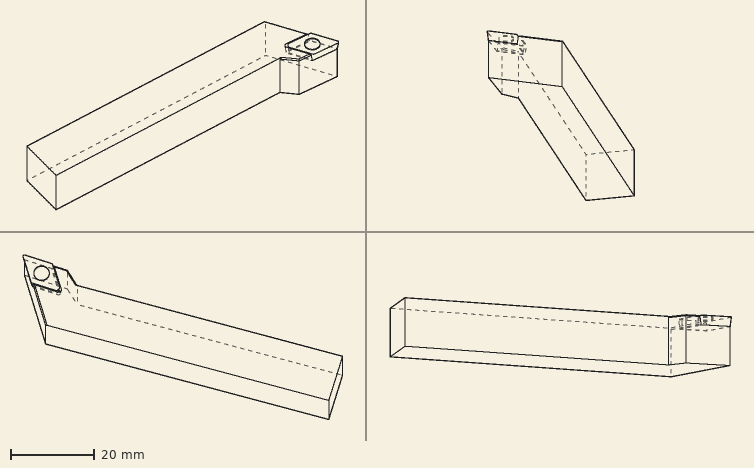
import cadquery as cq
import math

LENGTH = 81.2
TIP_X = 16.15
SHANK_SIZE = 12.0

INSCRIBED_DIAMETER = 6.3
POINT_ANGLE = 55.0
SIDE_TILT = 3.0
NOSE_RADIUS = 0.4
REAR_RADIUS = 0.8
INSERT_THICKNESS = 2.35
CLEARANCE_ANGLE = 7.0
RECESS_DIAMETER = 3.7
RECESS_DEPTH = 0.25

HEAD_LEFT_Y = 70.9
HEAD_NECK_Y = 66.5
HEAD_SHOULDER_X = 15.25
HEAD_SHOULDER_Y = 69.9
HEAD_CHAMFER = 0.3
POCKET_GAP = 0.25
POCKET_CORNER_RADIUS = 0.65

diagonal_tilt = SIDE_TILT + POINT_ANGLE / 2
half_point = math.radians(POINT_ANGLE / 2)
inscribed_radius = INSCRIBED_DIAMETER / 2
nose_distance = (inscribed_radius - NOSE_RADIUS) / math.sin(half_point)
insert_x = TIP_X - NOSE_RADIUS - nose_distance * math.sin(math.radians(diagonal_tilt))
insert_y = LENGTH - NOSE_RADIUS - nose_distance * math.cos(math.radians(diagonal_tilt))
insert_plane = cq.Plane(
    origin=(insert_x, insert_y, SHANK_SIZE),
    xDir=(math.cos(math.radians(diagonal_tilt)), -math.sin(math.radians(diagonal_tilt)), 0),
    normal=(0, 0, 1),
)


def tapered_rhombus(side_distance, rear_radius):
    """Rhombus with rounded corners, narrowing downward from the top face at the clearance angle."""
    half_length = side_distance / math.sin(half_point)
    half_width = side_distance / math.cos(half_point)
    outline = [(0, half_length), (half_width, 0), (0, -half_length), (-half_width, 0)]
    prism = cq.Workplane("XY").polyline(outline).close().extrude(0.8)
    rounded = prism.edges("|Z and (not <Y)").fillet(NOSE_RADIUS).edges("|Z and <Y").fillet(rear_radius)
    profile = rounded.faces("<Z").wires().val().moved(insert_plane.location)
    return (
        cq.Workplane(insert_plane)
        .add(profile)
        .toPending()
        .extrude(-INSERT_THICKNESS, taper=CLEARANCE_ANGLE)
    )


def make_insert():
    recess = cq.Workplane(insert_plane).circle(RECESS_DIAMETER / 2).extrude(-RECESS_DEPTH)
    return tapered_rhombus(inscribed_radius, REAR_RADIUS).cut(recess)


def head_tip():
    """Point where the sloping end face meets the tilted right side of the head."""
    end_slope = math.tan(math.radians(90 - POINT_ANGLE - SIDE_TILT))
    side_slope = math.tan(math.radians(SIDE_TILT))
    side_x_at_left_y = HEAD_SHOULDER_X + (HEAD_LEFT_Y - HEAD_SHOULDER_Y) * side_slope
    tip_x = side_x_at_left_y / (1 - end_slope * side_slope)
    return tip_x, HEAD_LEFT_Y + tip_x * end_slope


def make_holder():
    outline = [
        (0, 0),
        (SHANK_SIZE, 0),
        (SHANK_SIZE, HEAD_NECK_Y),
        (HEAD_SHOULDER_X, HEAD_SHOULDER_Y),
        head_tip(),
        (0, HEAD_LEFT_Y),
    ]
    body = cq.Workplane("XY").polyline(outline).close().extrude(SHANK_SIZE)
    head_edges = body.faces(">Z").edges("not (|X or |Y)")
    body = head_edges.chamfer(HEAD_CHAMFER)
    pocket = tapered_rhombus(inscribed_radius + POCKET_GAP, POCKET_CORNER_RADIUS)
    return body.cut(pocket)


holder = make_holder()
insert = make_insert()
result = cq.Compound.makeCompound([*holder.solids().vals(), *insert.solids().vals()])